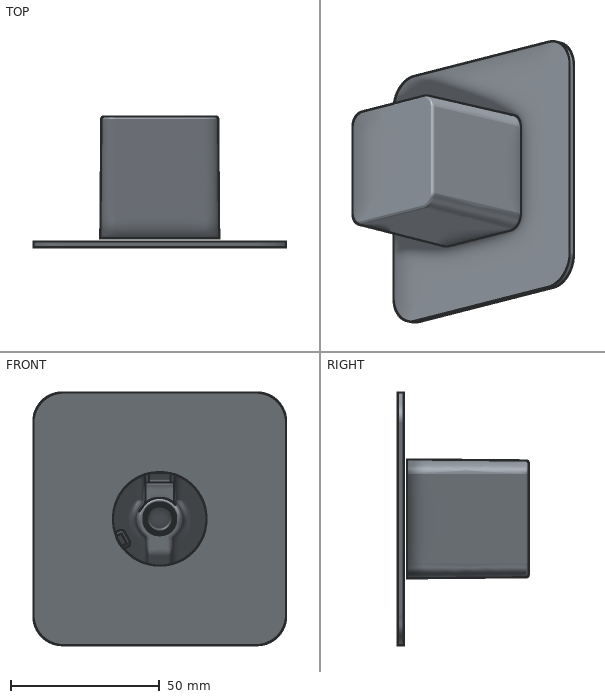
import cadquery as cq
import math

plate_side = 85.0
plate_thickness = 2.0
plate_corner_radius = 10.0
plate_hole_radius = 15.7

gap = 1.0
housing_depth = 41.0
housing_side = 40.0
housing_corner_radius = 5.0
housing_draft = 0.5
housing_edge_radius = 1.0
wall = 2.0
mouth_y = plate_thickness + gap
floor_y = mouth_y + housing_depth - wall
cavity_half = housing_side / 2 - wall
cavity_corner_radius = housing_corner_radius - wall

foot_fillet = 2.0
crest_fillet = 1.0
corner_fillet = 2.1
relief_draft = math.radians(6.5)
boss_height = 10.0
boss_top_radius = 7.0
lower_arm_top_half = 3.65
upper_arm_height = boss_height - crest_fillet
upper_arm_top_half = 4.85
arm_reach = cavity_half + wall / 2
floor_pad_width = 25.5
tolerance = 0.01

bore_mouth_radius = 5.5
bore_ledge_radius = 4.85
bore_ledge_depth = 1.0
bore_radius = 4.3
bore_floor_radius = 1.2

seat_start_z = 11.9
seat_edge_radius = 0.5
seat_drop = 1.7
seat_wall_run = 0.25
pocket_width = 7.1
pocket_height = 3.3
pocket_depth = 2.0
pocket_floor_radius = 0.9

key_distance = 14.8
key_angle = 208.6
key_base_length = 6.2
key_base_width = 4.6
key_height = 2.55
key_draft = 25.0
key_corner_radius = 1.4


def rounded_block(side, corner_radius, start_y, depth, draft):
    """Square block with rounded corners, running from start_y toward +Y."""
    outline = cq.Sketch().rect(side, side).vertices().fillet(corner_radius)
    return (
        cq.Workplane("XZ", origin=(0, start_y, 0))
        .placeSketch(outline)
        .extrude(-depth, taper=draft)
    )


def arm_block(top_half, height, direction):
    """Arm with drafted sides from the boss axis into the wall; direction is +1 for up and -1 for down."""
    foot_half = top_half + height * math.tan(relief_draft)
    top_y = floor_y - height
    section = [
        (-foot_half, floor_y),
        (foot_half, floor_y),
        (top_half, top_y),
        (-top_half, top_y),
    ]
    return cq.Workplane("XY").polyline(section).close().extrude(direction * arm_reach)


def boss_block():
    """Drafted round boss standing on the floor."""
    base_radius = boss_top_radius + boss_height * math.tan(relief_draft)
    return (
        cq.Workplane("XZ", origin=(0, floor_y, 0))
        .circle(base_radius)
        .extrude(boss_height, taper=math.degrees(relief_draft))
    )


def edges_at_height(body, y, reach):
    """Edges of the body that lie flat at the given Y and are centred within the given Z reach."""
    return [
        edge
        for edge in body.edges().vals()
        if edge.BoundingBox().ylen < tolerance
        and abs(edge.Center().y - y) < tolerance
        and abs(edge.Center().z) < reach
        and abs(edge.Center().x) < floor_pad_width / 2 - tolerance
    ]


def make_relief():
    """Boss and arms on a pad of the floor, with rounded corners, crests and feet."""
    blocks = (
        boss_block()
        .union(arm_block(lower_arm_top_half, boss_height, -1))
        .union(arm_block(upper_arm_top_half, upper_arm_height, 1))
    )
    corners = [
        edge
        for edge in blocks.edges().vals()
        if edge.BoundingBox().ylen > upper_arm_height - tolerance
        and abs(edge.Center().x) > tolerance
        and abs(edge.Center().z) < boss_top_radius + foot_fillet
    ]
    blocks = blocks.newObject(corners).fillet(corner_fillet)
    floor_pad = (
        cq.Workplane("XY")
        .box(floor_pad_width, wall / 2, 2 * arm_reach, centered=(True, False, True))
        .translate((0, floor_y, 0))
    )
    relief = floor_pad.union(blocks)
    crests = edges_at_height(relief, floor_y - boss_height, arm_reach - tolerance)
    relief = relief.newObject(crests).fillet(crest_fillet)
    feet = edges_at_height(relief, floor_y, arm_reach - tolerance)
    return relief.newObject(feet).fillet(foot_fillet).cut(make_seat()).cut(make_bore())


def make_bore():
    """Cutter with a conical mouth, a ledge and a shaft with a rounded floor edge."""
    top_y = floor_y - boss_height
    ledge_y = top_y + bore_ledge_depth
    mouth = (
        cq.Workplane("XZ", origin=(0, top_y, 0))
        .circle(bore_mouth_radius)
        .workplane(offset=-bore_ledge_depth)
        .circle(bore_ledge_radius)
        .loft()
    )
    shaft = (
        cq.Workplane("XZ", origin=(0, ledge_y, 0))
        .circle(bore_radius)
        .extrude(ledge_y - floor_y)
        .faces(">Y")
        .edges()
        .fillet(bore_floor_radius)
    )
    return mouth.union(shaft)


def make_seat():
    """Cutter for the upper arm's rounded edge, the seat behind it and the pocket in the seat."""
    arm_top_y = floor_y - upper_arm_height
    seat_y = arm_top_y + seat_drop
    round_start_z = seat_start_z - seat_edge_radius
    round_middle_y = arm_top_y + seat_edge_radius * (1 - math.sqrt(0.5))
    round_middle_z = round_start_z + seat_edge_radius * math.sqrt(0.5)
    seat = (
        cq.Workplane("YZ")
        .moveTo(arm_top_y, round_start_z)
        .threePointArc((round_middle_y, round_middle_z), (arm_top_y + seat_edge_radius, seat_start_z))
        .lineTo(seat_y, seat_start_z + seat_wall_run)
        .lineTo(seat_y, arm_reach)
        .lineTo(arm_top_y, arm_reach)
        .close()
        .extrude(upper_arm_top_half + foot_fillet, both=True)
    )
    pocket = (
        cq.Workplane("XY")
        .box(pocket_width, pocket_depth, pocket_height, centered=(True, False, False))
        .translate((0, seat_y, seat_start_z + seat_wall_run))
        .faces(">Y")
        .edges("|X")
        .fillet(pocket_floor_radius)
    )
    return seat.union(pocket)


def make_key():
    """Frustum with rounded corners, long side across the radius."""
    outline = cq.Sketch().rect(key_base_width, key_base_length).vertices().fillet(key_corner_radius)
    return (
        cq.Workplane("XZ", origin=(0, floor_y, 0))
        .center(key_distance, 0)
        .placeSketch(outline)
        .extrude(key_height, taper=key_draft)
        .rotate((0, 0, 0), (0, 1, 0), -key_angle)
    )


def make_plate():
    """Flat square cover plate with a round hole."""
    plate = rounded_block(plate_side, plate_corner_radius, 0, plate_thickness, 0)
    hole = cq.Workplane("XZ").circle(plate_hole_radius).extrude(-plate_thickness)
    return plate.cut(hole)


def make_housing():
    """Hollow cup with the relief and the key on its floor."""
    shell = rounded_block(housing_side, housing_corner_radius, mouth_y, housing_depth, housing_draft)
    shell = shell.faces(">Y").edges().fillet(housing_edge_radius)
    cavity = rounded_block(
        2 * cavity_half, cavity_corner_radius, mouth_y, housing_depth - wall, housing_draft
    )
    return shell.cut(cavity).union(make_relief()).union(make_key())


plate = make_plate().solids()
housing = make_housing().solids()

result = cq.Compound.makeCompound([plate.val(), housing.val()])